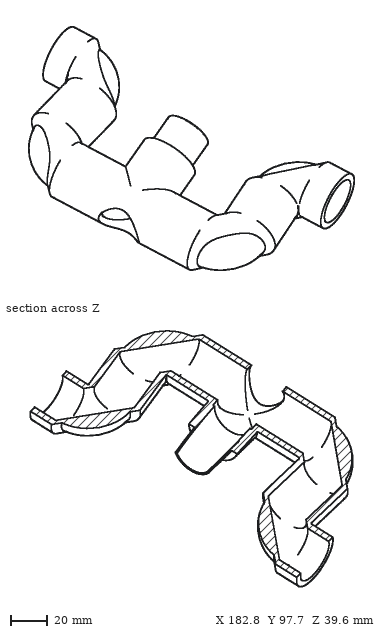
import cadquery as cq
import math

outer_diameter = 33.8
outer_radius = outer_diameter / 2
bore_radius = 13.2
hinge_offset = 17.0
bulge_radius = 13.0

overall_length = 182.8
main_half_length = 45.3
leg_tilt = 5.0
leg_length = 27.0

branch_tilt = 10.0
stub_end = 35.1
spigot_end = 54.1
spigot_bore_radius = 12.0
spigot_bore_start = 17.4

tilt = math.radians(leg_tilt)
leg_direction = (-math.sin(tilt), math.cos(tilt))
ring_direction = (math.cos(tilt), math.sin(tilt))

square_bend = 90.0
full_bend = square_bend + leg_tilt

lower_hinge = (main_half_length, hinge_offset)
leg_start = tuple(h + hinge_offset * r for h, r in zip(lower_hinge, ring_direction))
leg_end = tuple(s + leg_length * d for s, d in zip(leg_start, leg_direction))
upper_hinge = tuple(e + hinge_offset * r for e, r in zip(leg_end, ring_direction))
socket_offset = upper_hinge[1] + hinge_offset
socket_length = overall_length / 2 - upper_hinge[0]


def rod(start, direction, length, radius):
    """Cylinder in the XY plane."""
    return cq.Solid.makeCylinder(radius, length, cq.Vector(*start), cq.Vector(*direction))


def oblique_elbow(hinge, bend, radius):
    """Straight-sided pipe elbow from the main pipe end, turned about its hinge by bend degrees."""
    outward = (0, -1, 0)
    ring_plane = cq.Plane((hinge[0], hinge[1] - hinge_offset, 0), outward, (1, 0, 0))
    start_ring = cq.Workplane(ring_plane).circle(radius).wires().val()
    end_ring = start_ring.rotate(cq.Vector(*hinge, 0), cq.Vector(*hinge, 1.8), bend)
    return cq.Solid.makeLoft([start_ring, end_ring], True)


def round_bend(hinge, first_angle, sweep, radius):
    """Round pipe section swung about the hinge through sweep degrees."""
    section = cq.Workplane("YZ", origin=(hinge[0], hinge[1], 0))
    section = section.center(-hinge_offset, 0).circle(radius)
    bend = section.revolve(sweep, (hinge_offset, 0, 0), (hinge_offset, 1, 0)).val()
    return bend.rotate(cq.Vector(*hinge, 0), cq.Vector(*hinge, 1.8), first_angle)


def half_turn(solid):
    """Turn a lower elbow into the matching upper elbow."""
    middle = [(a + b) / 2 for a, b in zip(lower_hinge, upper_hinge)]
    return solid.rotate(cq.Vector(*middle, 0), cq.Vector(*middle, 1.8), 180)


def arm(bend, radius):
    """Lower elbow, leg, upper elbow and socket on the +X side."""
    elbow = oblique_elbow(lower_hinge, bend, radius)
    socket_start = (upper_hinge[0], socket_offset)
    parts = [
        elbow,
        half_turn(elbow),
        rod(leg_start, leg_direction, leg_length, radius),
        rod(socket_start, (1, 0), socket_length, radius),
    ]
    if bend < full_bend:
        wedge = round_bend(lower_hinge, bend, full_bend - bend, radius)
        parts += [wedge, half_turn(wedge)]
    return parts


def pipe_run(radius):
    """Main pipe with both arms, as solids of one radius."""
    main = rod((-main_half_length, 0), (1, 0), 2 * main_half_length, radius)
    right_arm = arm(full_bend, radius)
    left_arm = [part.mirror("YZ") for part in arm(square_bend, radius)]
    return [main] + right_arm + left_arm


def elbow_bulges():
    """Solid round swellings on the backs of all four elbows."""
    bulge = round_bend(lower_hinge, 0, square_bend, bulge_radius)
    right_bulges = [bulge, half_turn(bulge)]
    return right_bulges + [part.mirror("YZ") for part in right_bulges]


def branch_rod(start, end, radius):
    """Cylinder between two distances along the tipped branch axis."""
    rise = math.radians(branch_tilt)
    axis = cq.Vector(0, math.cos(rise), math.sin(rise))
    return cq.Solid.makeCylinder(radius, end - start, axis * start, axis)


def fuse_all(solids):
    """Union of solids that touch or overlap."""
    body = cq.Workplane(solids[0])
    for solid in solids[1:]:
        body = body.union(cq.Workplane(solid))
    return body


outside = fuse_all(pipe_run(outer_radius) + elbow_bulges())
outside = outside.union(cq.Workplane(branch_rod(0, stub_end, outer_radius)))
outside = outside.union(cq.Workplane(branch_rod(0, spigot_end, bore_radius)))

far_wall_exit = -2 * outer_radius
wide_bore = branch_rod(far_wall_exit, spigot_bore_start, bore_radius)
spigot_bore = branch_rod(0, spigot_end, spigot_bore_radius)

result = outside
for bore in pipe_run(bore_radius) + [wide_bore, spigot_bore]:
    result = result.cut(cq.Workplane(bore))